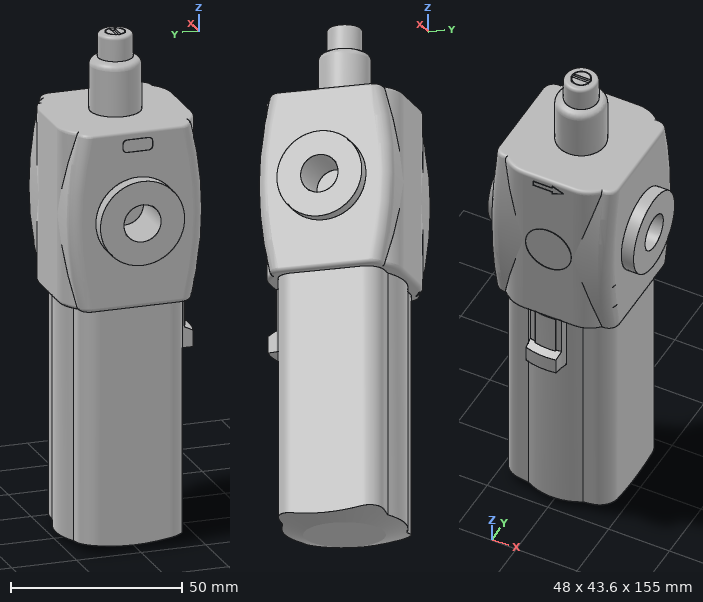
import cadquery as cq
import math


housing_bottom = 76.0
housing_top = 131.1
housing_height = housing_top - housing_bottom
port_z = (housing_bottom + housing_top) / 2
housing_half_x = 20.0
housing_half_y = 20.8
barrel_radius = 108.5
barrel_edge_round = 3.5
core_flat_half_x = 8.2
core_corner_radius = 10.5
rim_round = 1.2

collar_diameter = 26.0
collar_half_span = 24.0
port_hole_diameter = 11.5
port_hole_depth = 15.5
gauge_seat_diameter = 15.0
mark_depth = 0.2
arrow_z = housing_top - 3.1
badge_z = housing_top - 4.6
badge_length = 9.1
badge_height = 3.9
badge_round = 1.2
arrow_tail_x = -5.0
arrow_neck_x = 1.2
arrow_tip_x = 5.0
arrow_shaft_half = 0.8
arrow_head_half = 1.5

overall_height = 155.0
shoulder_top = 147.4
shoulder_edge_z = 146.5
shoulder_diameter = 15.5
shoulder_round = 2.0
tip_diameter = 10.5
tip_round = 1.1
ring_outer_diameter = 6.0
ring_inner_diameter = 5.6
ring_depth = 0.8
slot_width = 1.4
slot_depth = 0.8

bowl_half_x = 17.7
bowl_half_y = 16.1
bowl_corner_radius = 5.3
bulge_radius = 18.5
base_flat_radius = 12.1
base_cone_slope = 0.3

latch_bottom = 56.9
latch_face_top = 62.0
latch_slope_top = 63.4
latch_left_x = -6.8
latch_root_left_x = -7.0
latch_root_right_x = 4.5
latch_plate_right_x = 3.9
latch_lip_right_x = 3.4
latch_plate_radius = 20.2
latch_pad_radius = 20.5
latch_lip_radius = 22.8
pad_left_x = -4.8
pad_right_x = 2.2


def make_block():
    """Barrel-faced box joined with an upright rounded core, with rounded rims."""
    half_height = housing_height / 2
    end_drop = barrel_radius - math.sqrt(barrel_radius ** 2 - half_height ** 2)
    end_half_y = housing_half_y - end_drop
    barrel = (
        cq.Workplane("YZ", origin=(-housing_half_x, 0, port_z))
        .moveTo(-end_half_y, -half_height)
        .lineTo(end_half_y, -half_height)
        .threePointArc((housing_half_y, 0), (end_half_y, half_height))
        .lineTo(-end_half_y, half_height)
        .threePointArc((-housing_half_y, 0), (-end_half_y, -half_height))
        .close()
        .extrude(2 * housing_half_x)
        .edges("%CIRCLE")
        .fillet(barrel_edge_round)
    )
    core_half_x = core_flat_half_x + core_corner_radius
    core = (
        cq.Workplane("XY", origin=(0, 0, housing_bottom))
        .rect(2 * core_half_x, 2 * housing_half_y)
        .extrude(housing_height)
        .edges("|Z")
        .fillet(core_corner_radius)
    )
    return barrel.union(core).faces("<Z or >Z").edges().fillet(rim_round)


def make_collars():
    """One cylinder through the block, showing as a collar at each end."""
    return (
        cq.Workplane("YZ", origin=(-collar_half_span, 0, port_z))
        .circle(collar_diameter / 2)
        .extrude(2 * collar_half_span)
    )


def make_port_hole(side):
    """Blind hole into one collar; side is -1 or +1 along X."""
    return (
        cq.Workplane("YZ", origin=(side * collar_half_span, 0, port_z))
        .circle(port_hole_diameter / 2)
        .extrude(-side * port_hole_depth)
    )


def make_spindle():
    """Cylinder with a rounded conical shoulder, topped by a thinner rounded tip."""
    shoulder = (
        cq.Workplane("XZ")
        .polyline([
            (0, port_z),
            (shoulder_diameter / 2, port_z),
            (shoulder_diameter / 2, shoulder_edge_z),
            (tip_diameter / 2, shoulder_top),
            (0, shoulder_top),
        ])
        .close()
        .revolve()
        .edges(cq.selectors.RadiusNthSelector(-1))
        .edges(">Z")
        .fillet(shoulder_round)
    )
    tip = (
        cq.Workplane("XY", origin=(0, 0, port_z))
        .circle(tip_diameter / 2)
        .extrude(overall_height - port_z)
        .faces(">Z")
        .edges()
        .fillet(tip_round)
    )
    return shoulder.union(tip)


def make_screw_recess():
    """Ring groove and screwdriver slot in the end of the spindle."""
    top = cq.Workplane("XY", origin=(0, 0, overall_height))
    ring = top.circle(ring_outer_diameter / 2).circle(ring_inner_diameter / 2).extrude(-ring_depth)
    slot = top.rect(ring_inner_diameter, slot_width).extrude(-slot_depth)
    head = top.circle(ring_inner_diameter / 2).extrude(-slot_depth)
    return ring.union(slot.intersect(head))


def make_front_marks():
    """Shallow round gauge seat and flow arrow in the front panel."""
    seat = (
        cq.Workplane("XZ", origin=(0, -housing_half_y, port_z))
        .circle(gauge_seat_diameter / 2)
        .extrude(-mark_depth)
    )
    arrow = (
        cq.Workplane("XZ", origin=(0, -housing_half_y, arrow_z))
        .polyline([
            (arrow_tail_x, -arrow_shaft_half),
            (arrow_neck_x, -arrow_shaft_half),
            (arrow_neck_x, -arrow_head_half),
            (arrow_tip_x, 0),
            (arrow_neck_x, arrow_head_half),
            (arrow_neck_x, arrow_shaft_half),
            (arrow_tail_x, arrow_shaft_half),
        ])
        .close()
        .extrude(-mark_depth)
    )
    return seat.union(arrow)


def make_badge():
    """Shallow rounded badge recess above the inlet port."""
    return (
        cq.Workplane("YZ", origin=(-housing_half_x, 0, badge_z))
        .rect(badge_length, badge_height)
        .extrude(mark_depth)
        .edges("|X")
        .fillet(badge_round)
    )


def make_housing():
    """Block, port collars and spindle as one solid, with all recesses cut."""
    housing = make_block().union(make_collars()).union(make_spindle())
    for side in (-1, 1):
        housing = housing.cut(make_port_hole(side))
    return housing.cut(make_screw_recess()).cut(make_front_marks()).cut(make_badge())


def make_bowl_shell():
    """Rounded rectangular column with round bellies and a conical underside."""
    column = (
        cq.Workplane("XY")
        .rect(2 * bowl_half_x, 2 * bowl_half_y)
        .extrude(housing_bottom)
        .edges("|Z")
        .fillet(bowl_corner_radius)
    )
    belly_half_x = math.sqrt(bulge_radius ** 2 - bowl_half_y ** 2)
    belly = (
        cq.Workplane("XY")
        .circle(bulge_radius)
        .extrude(housing_bottom)
        .intersect(
            cq.Workplane("XY")
            .rect(2 * belly_half_x, 2 * bulge_radius)
            .extrude(housing_bottom)
        )
    )
    envelope_radius = bowl_half_x + bowl_half_y
    cone_top = base_cone_slope * (envelope_radius - base_flat_radius)
    envelope = (
        cq.Workplane("XZ")
        .polyline([
            (0, 0),
            (base_flat_radius, 0),
            (envelope_radius, cone_top),
            (envelope_radius, housing_bottom),
            (0, housing_bottom),
        ])
        .close()
        .revolve()
    )
    return column.union(belly).intersect(envelope)


def make_latch():
    """Plate with a raised pad down the front of the bowl, ending in a thumb lip."""
    plate_and_lip = (
        cq.Workplane("XZ")
        .polyline([
            (0, latch_bottom),
            (latch_lip_radius, latch_bottom),
            (latch_lip_radius, latch_face_top),
            (latch_plate_radius, latch_slope_top),
            (latch_plate_radius, housing_bottom),
            (0, housing_bottom),
        ])
        .close()
        .revolve()
    )
    root_left_y = -math.sqrt(bulge_radius ** 2 - latch_root_left_x ** 2)
    root_right_y = -math.sqrt(bulge_radius ** 2 - latch_root_right_x ** 2)
    plate_left_y = -math.sqrt(latch_plate_radius ** 2 - latch_left_x ** 2)
    plate_right_y = -math.sqrt(latch_plate_radius ** 2 - latch_plate_right_x ** 2)
    width_limits = (
        cq.Workplane("XY")
        .polyline([
            (latch_root_left_x, -bowl_half_y),
            (latch_root_right_x, -bowl_half_y),
            (latch_root_right_x, root_right_y),
            (latch_plate_right_x, plate_right_y),
            (latch_lip_right_x, -latch_lip_radius),
            (latch_left_x, -latch_lip_radius),
            (latch_left_x, plate_left_y),
            (latch_root_left_x, root_left_y),
        ])
        .close()
        .extrude(housing_bottom)
    )
    pad_limits = (
        cq.Workplane("XY")
        .polyline([
            (pad_left_x, -bowl_half_y),
            (pad_right_x, -bowl_half_y),
            (pad_right_x, -latch_lip_radius),
            (pad_left_x, -latch_lip_radius),
        ])
        .close()
        .extrude(housing_bottom)
    )
    pad = (
        cq.Workplane("XY", origin=(0, 0, latch_bottom))
        .circle(latch_pad_radius)
        .extrude(housing_bottom - latch_bottom)
        .intersect(pad_limits)
    )
    return plate_and_lip.intersect(width_limits).union(pad)


def make_bowl():
    """Bowl column and its latch as one solid."""
    return make_bowl_shell().union(make_latch())


housing = make_housing()
bowl = make_bowl()
result = cq.Compound.makeCompound([housing.val(), bowl.val()])